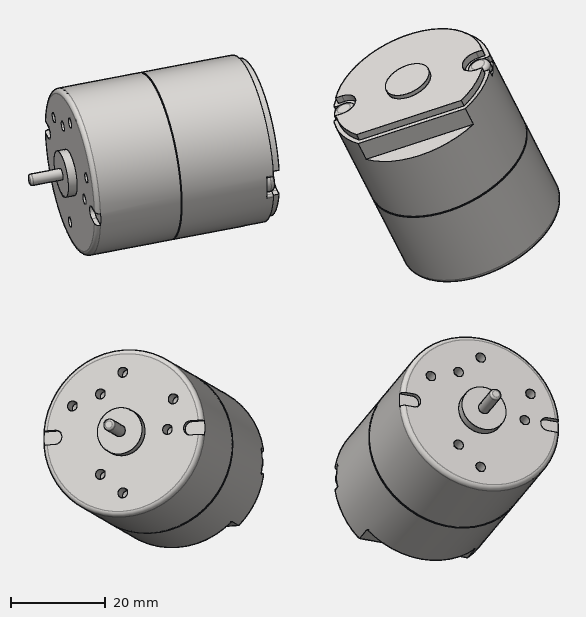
import cadquery as cq
import math


body_diameter = 36.0
gearbox_length = 18.95
front_fillet = 1.0

groove_diameter = 35.6
groove_width = 0.15

can_length = 20.5
can_back = gearbox_length + can_length
can_flat_drop = 13.2
can_flat_length = 4.5

cap_diameter = 34.05
cap_thickness = 1.6
cap_back = can_back + cap_thickness
cap_flat_drop = 12.15

boss_diameter = 10.0
front_boss_length = 1.95
rear_boss_length = 0.95
overall_length = 51.0
shaft_diameter = 2.5
shaft_tip_fillet = 0.45
shaft_tip = overall_length - cap_back - rear_boss_length

hole_diameter = 2.15
hole_depth = 3.0
drill_point_angle = 118.0
outer_hole_radius = 13.0
outer_hole_angles = (-90, 30, 90, 150)
inner_hole_radius = 10.0
inner_hole_angles = (0, 120, 240)

slot_width = 3.05
slot_depth = 1.05
slot_inner_end = 13.6
slot_end_center = slot_inner_end + slot_width / 2

stud_diameter = 5.0
stud_offset = (groove_diameter - stud_diameter) / 2
stud_recess = 1.05
stud_back = cap_back - stud_recess
stud_fillet = 1.0
cap_pocket_width = 6.2
can_pocket_width = 4.6
can_pocket_depth = 1.5
can_pocket_floor = can_back - can_pocket_depth
can_mouth_fillet = 0.45

body_radius = body_diameter / 2
sides = (-1, 1)


def plane_at(y):
    """Plane at the given Y, with local x along X, local y along Z and its normal toward the front."""
    return cq.Workplane("XZ", origin=(0, y, 0))


def cylinder(diameter, front, back, x=0.0):
    """Cylinder along Y between two Y positions."""
    return plane_at(back).center(x, 0).circle(diameter / 2).extrude(back - front)


def block_below(drop, front, back):
    """Block that fills everything lower than the given distance below the axis."""
    block = cq.Workplane("XY").box(body_diameter, back - front, body_radius, centered=(True, False, False))
    return block.translate((0, front, -drop - body_radius))


def side_slot(width, end_center, front, back, side):
    """Slot that ends in a half circle near the axis and runs out past the rim."""
    center_spacing = body_radius - end_center + width / 2
    slot_center = end_center + center_spacing / 2
    outline = plane_at(back).center(side * slot_center, 0).slot2D(center_spacing + width, width)
    return outline.extrude(back - front)


def cut_can_pocket(can, side):
    """Cut the terminal slot into one side of the can and round both edges where it breaks through the outside."""
    inner_corner = (side * (stud_offset + can_mouth_fillet), can_pocket_floor, -can_pocket_width)
    outer_corner = (side * body_radius, can_back, can_pocket_width)
    mouth = cq.selectors.BoxSelector(inner_corner, outer_corner)
    can = can.cut(side_slot(can_pocket_width, stud_offset, can_pocket_floor, can_back, side))
    return can.edges(mouth).edges("|Y").fillet(can_mouth_fillet)


def make_body():
    gearbox = cylinder(body_diameter, 0, gearbox_length).faces("<Y").edges().fillet(front_fillet)
    groove_floor = cylinder(groove_diameter, gearbox_length, gearbox_length + groove_width)
    can = cylinder(body_diameter, gearbox_length + groove_width, can_back)
    can = can.cut(block_below(can_flat_drop, can_back - can_flat_length, can_back))
    cap = cylinder(cap_diameter, can_back, cap_back)
    cap = cap.cut(block_below(cap_flat_drop, can_back, cap_back))
    for side in sides:
        can = cut_can_pocket(can, side)
        cap = cap.cut(side_slot(cap_pocket_width, stud_offset, can_back, cap_back, side))
    return gearbox.union(groove_floor).union(can).union(cap)


def make_shaft():
    shaft = cylinder(shaft_diameter, -shaft_tip, 0)
    return shaft.faces("<Y").edges().fillet(shaft_tip_fillet)


def make_mounting_hole(radius, angle):
    """Drilled hole with a conical bottom, revolved about its own axis."""
    hole_radius = hole_diameter / 2
    point_length = hole_radius / math.tan(math.radians(drill_point_angle / 2))
    half_section = [(0, 0), (hole_radius, 0), (hole_radius, hole_depth), (0, hole_depth + point_length)]
    hole = cq.Workplane("XY").polyline(half_section).close().revolve(360, (0, 0), (0, 1))
    x = radius * math.cos(math.radians(angle))
    z = radius * math.sin(math.radians(angle))
    return hole.translate((x, 0, z))


def make_stud(side):
    stud = cylinder(stud_diameter, can_pocket_floor, stud_back, side * stud_offset)
    return stud.faces(">Y").edges().fillet(stud_fillet)


result = make_body()
result = result.union(cylinder(boss_diameter, -front_boss_length, 0))
result = result.union(cylinder(boss_diameter, cap_back, cap_back + rear_boss_length))
result = result.union(make_shaft())

for angle in outer_hole_angles:
    result = result.cut(make_mounting_hole(outer_hole_radius, angle))
for angle in inner_hole_angles:
    result = result.cut(make_mounting_hole(inner_hole_radius, angle))

for side in sides:
    result = result.cut(side_slot(slot_width, slot_end_center, 0, slot_depth, side))
    result = result.union(make_stud(side))